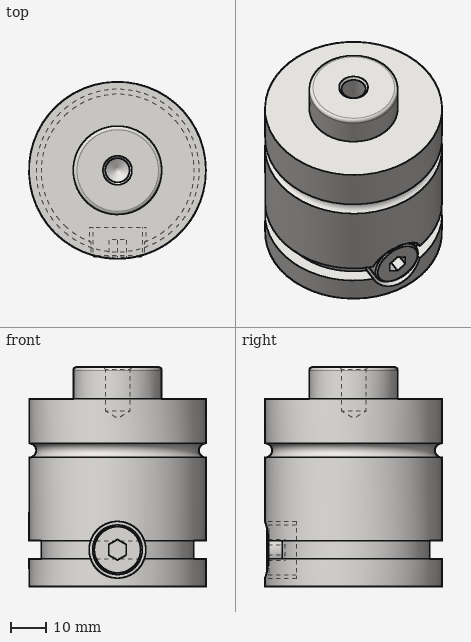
import cadquery as cq
import math

BODY_DIAMETER = 50.0
BODY_RADIUS = BODY_DIAMETER / 2
TOTAL_HEIGHT = 62
BOSS_DIAMETER = BODY_DIAMETER / 2
BOSS_HEIGHT = 9.0
BODY_HEIGHT = TOTAL_HEIGHT - BOSS_HEIGHT
BOSS_EDGE_RADIUS = 1.0

ROUND_GROOVE_Z = 38.45
ROUND_GROOVE_RADIUS = 2.0

SQUARE_GROOVE_Z = 10.4
SQUARE_GROOVE_WIDTH = 5.2
SQUARE_GROOVE_DEPTH = 3.4

HOLE_DIAMETER = 6.8
HOLE_MOUTH_DIAMETER = 8.2
HOLE_DEPTH = 12.4
DRILL_POINT_ANGLE = 118

POCKET_DIAMETER = 16.0
POCKET_FLOOR_DISTANCE = 16.1
HEAD_DIAMETER = 14.0
HEAD_FACE_DISTANCE = 24.4
HEAD_CHAMFER = 0.5
HEX_ACROSS_FLATS = 5.0
HEX_DEPTH = 4.95


def make_body():
    body = cq.Workplane("XY").circle(BODY_RADIUS).extrude(BODY_HEIGHT)
    boss = cq.Workplane("XY").workplane(offset=BODY_HEIGHT).circle(BOSS_DIAMETER / 2).extrude(BOSS_HEIGHT)
    return body.union(boss.faces(">Z").edges().fillet(BOSS_EDGE_RADIUS))


def make_round_groove():
    profile = cq.Workplane("XZ").center(BODY_RADIUS, ROUND_GROOVE_Z).circle(ROUND_GROOVE_RADIUS)
    return profile.revolve(360, (-BODY_RADIUS, 0), (-BODY_RADIUS, 1))


def make_square_groove():
    plane = cq.Workplane("XY").workplane(offset=SQUARE_GROOVE_Z - SQUARE_GROOVE_WIDTH / 2)
    floor_radius = BODY_RADIUS - SQUARE_GROOVE_DEPTH
    return plane.circle(BODY_RADIUS).circle(floor_radius).extrude(SQUARE_GROOVE_WIDTH)


def make_top_hole():
    """Blind hole with a 45-degree mouth chamfer and a conical drill point."""
    radius = HOLE_DIAMETER / 2
    mouth_radius = HOLE_MOUTH_DIAMETER / 2
    chamfer_depth = mouth_radius - radius
    floor_z = TOTAL_HEIGHT - HOLE_DEPTH
    point_depth = radius / math.tan(math.radians(DRILL_POINT_ANGLE / 2))
    profile = (
        cq.Workplane("XZ")
        .moveTo(0, TOTAL_HEIGHT)
        .lineTo(mouth_radius, TOTAL_HEIGHT)
        .lineTo(radius, TOTAL_HEIGHT - chamfer_depth)
        .lineTo(radius, floor_z)
        .lineTo(0, floor_z - point_depth)
        .close()
    )
    return profile.revolve(360, (0, 0), (0, 1))


def screw_plane(distance):
    """Plane facing -Y at the given distance from the body axis, centred on the screw."""
    return cq.Workplane("XZ", origin=(0, -distance, SQUARE_GROOVE_Z))


def make_screw_pocket():
    depth = BODY_RADIUS - POCKET_FLOOR_DISTANCE
    return screw_plane(POCKET_FLOOR_DISTANCE).circle(POCKET_DIAMETER / 2).extrude(depth)


def make_screw_head():
    length = HEAD_FACE_DISTANCE - POCKET_FLOOR_DISTANCE
    head = screw_plane(POCKET_FLOOR_DISTANCE).circle(HEAD_DIAMETER / 2).extrude(length)
    return head.faces("<Y").edges().chamfer(HEAD_CHAMFER)


def make_hex_socket():
    hex_corner_diameter = HEX_ACROSS_FLATS / math.cos(math.pi / 6)
    hexagon = screw_plane(HEAD_FACE_DISTANCE).transformed(rotate=(0, 0, 90)).polygon(6, hex_corner_diameter)
    return hexagon.extrude(-HEX_DEPTH)


result = make_body()
for cutter in (make_round_groove(), make_square_groove(), make_top_hole(), make_screw_pocket()):
    result = result.cut(cutter)
result = result.union(make_screw_head()).cut(make_hex_socket())